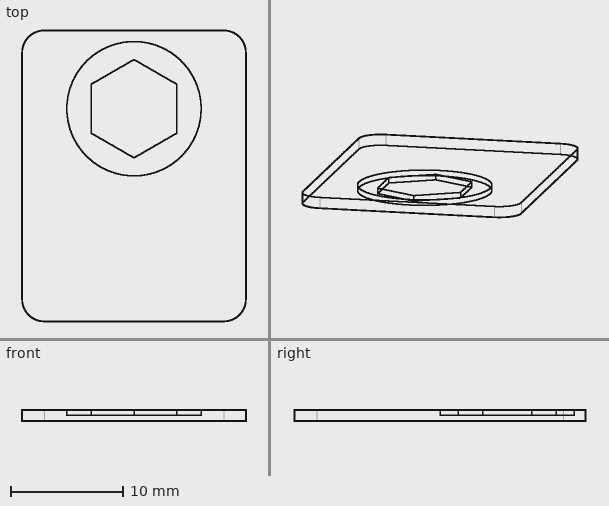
import cadquery as cq
import math

plate_width = 20.0
plate_length = 26.0
plate_thickness = 1.0
corner_radius = 2.0

recess_diameter = 12.0
recess_edge_margin = 1.0
recess_depth = 0.5
hex_across_flats = 7.6

recess_center_y = plate_length / 2 - recess_edge_margin - recess_diameter / 2
recess_floor_z = plate_thickness - recess_depth
hex_across_corners = hex_across_flats / math.cos(math.pi / 6)


def make_plate():
    """Flat plate with rounded vertical corners, resting on Z = 0."""
    plate = cq.Workplane("XY").box(
        plate_width, plate_length, plate_thickness, centered=(True, True, False)
    )
    return plate.edges("|Z").fillet(corner_radius)


def make_recess():
    """Cylinder removed from the top face."""
    return (
        cq.Workplane("XY", origin=(0, recess_center_y, recess_floor_z))
        .circle(recess_diameter / 2)
        .extrude(recess_depth)
    )


def make_hexagon():
    """Hexagon rising from the recess floor to the top face, with two corners along Y."""
    return (
        cq.Workplane("XY", origin=(0, recess_center_y, recess_floor_z))
        .transformed(rotate=(0, 0, 90))
        .polygon(6, hex_across_corners)
        .extrude(recess_depth)
    )


result = make_plate().cut(make_recess()).union(make_hexagon())